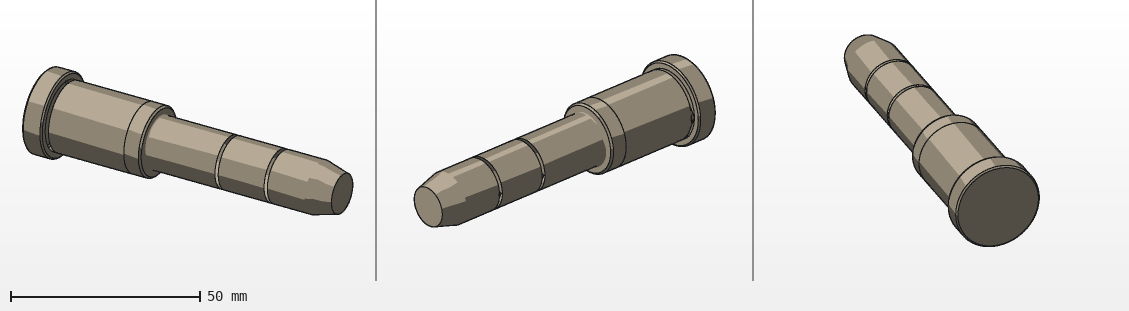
import cadquery as cq
import math

total_length = 91.0
head_length = 6.0
body_pilot_start = 30.0
body_end = 35.0
tip_length = 7.0
tip_angle = 15.0

head_radius = 24.0 / 2
body_radius = 20.0 / 2
pilot_clearance = 0.02
shank_radius = 15.0 / 2
tip_radius = shank_radius - tip_length * math.tan(math.radians(tip_angle))

head_chamfer = 0.5
body_chamfer = 0.55
shoulder_fillet = 0.5
groove_radius = 1.0 / 2
shank_groove_centers = (57.0, 72.0)


def cylinder(start, end, radius):
    """Solid cylinder on the X axis between two axial positions."""
    return cq.Workplane("YZ", origin=(start, 0, 0)).circle(radius).extrude(end - start)


def groove(center, radius):
    """Half-round ring groove cutter centred on the surface of a cylinder."""
    profile = cq.Workplane("XY").center(center, radius).circle(groove_radius)
    return profile.revolve(360, (0, -radius, 0), (1, -radius, 0))


head = cylinder(0, head_length, head_radius).edges().chamfer(head_chamfer)

body = cylinder(head_length, body_pilot_start, body_radius)
pilot = cylinder(body_pilot_start, body_end, body_radius - pilot_clearance)
pilot = pilot.faces(">X").edges().chamfer(body_chamfer)
body = body.cut(groove(head_length + groove_radius, body_radius))

tip_start = total_length - tip_length
shank = cylinder(body_end, tip_start, shank_radius)
for center in shank_groove_centers:
    shank = shank.cut(groove(center, shank_radius))

shoulder = (
    cq.Workplane("XY")
    .moveTo(body_end, 0)
    .lineTo(body_end, shank_radius + shoulder_fillet)
    .radiusArc((body_end + shoulder_fillet, shank_radius), -shoulder_fillet)
    .lineTo(body_end + shoulder_fillet, 0)
    .close()
    .revolve(360, (0, 0, 0), (1, 0, 0))
)

tip = (
    cq.Workplane("XY")
    .moveTo(tip_start, 0)
    .lineTo(tip_start, shank_radius)
    .lineTo(total_length, tip_radius)
    .lineTo(total_length, 0)
    .close()
    .revolve(360, (0, 0, 0), (1, 0, 0))
)

result = head.union(body).union(pilot).union(shank).union(shoulder).union(tip)